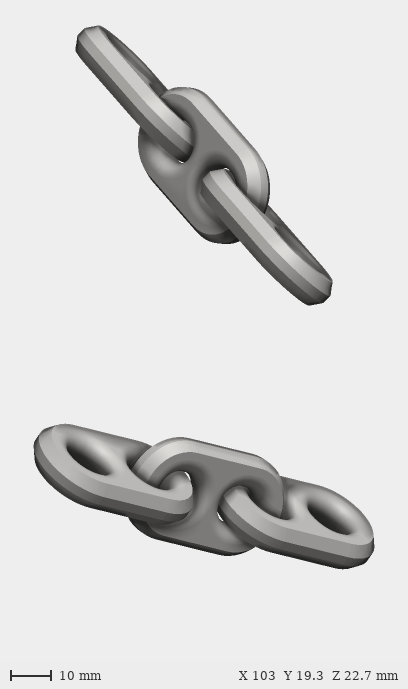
import cadquery as cq
import math

chain_length = 103.0
link_count = 3
tilt_angle = 55.0

link_length = 46.0
straight_length = 20.0
thickness = 8.0
edge_flat = 2.5

throat_radius = 4.9
wall_radius = thickness / 2
eye_rim_radius = throat_radius + wall_radius
eye_stretch = straight_length / 2 - eye_rim_radius

link_width = link_length - straight_length
pitch = (chain_length - link_length) / (link_count - 1)
chamfer_height = (thickness - edge_flat) / 2
chamfer_depth = chamfer_height * math.tan(math.radians(90 - tilt_angle))


def make_blank():
    """Flat stadium plate with its outer rim chamfered on both faces."""
    return (
        cq.Workplane("XY")
        .slot2D(link_length, link_width)
        .extrude(wall_radius, both=True)
        .faces(">Z or <Z")
        .edges()
        .chamfer(chamfer_height, chamfer_depth)
    )


def eye_profile(plane):
    """Half section of an eye, from its axis out to the bulging wall."""
    return (
        cq.Workplane(plane)
        .moveTo(0, -wall_radius)
        .lineTo(eye_rim_radius, -wall_radius)
        .threePointArc((throat_radius, 0), (eye_rim_radius, wall_radius))
        .lineTo(0, wall_radius)
        .close()
    )


def make_eye_cutter():
    """Eye void stretched along X, with its outer round end centred at the origin."""
    round_end = eye_profile("XZ").revolve(360, (0, 0, 0), (0, 1, 0))
    half_middle = eye_profile("YZ").extrude(eye_stretch)
    middle = half_middle.union(half_middle.mirror("XZ"))
    return round_end.union(middle).union(round_end.translate((eye_stretch, 0, 0)))


def make_link():
    """One flat link with two eyes, lying in the XY plane."""
    left_eye = make_eye_cutter().translate((-straight_length / 2, 0, 0))
    right_eye = left_eye.mirror("YZ")
    return make_blank().cut(left_eye).cut(right_eye)


flat_link = make_link()
links = []
for index in range(link_count):
    lean = -tilt_angle if index % 2 == 0 else tilt_angle
    x_position = (index - (link_count - 1) / 2) * pitch
    link = flat_link.rotate((0, 0, 0), (1, 0, 0), lean).translate((x_position, 0, 0))
    links.append(link.solids().val())

result = cq.Compound.makeCompound(links)